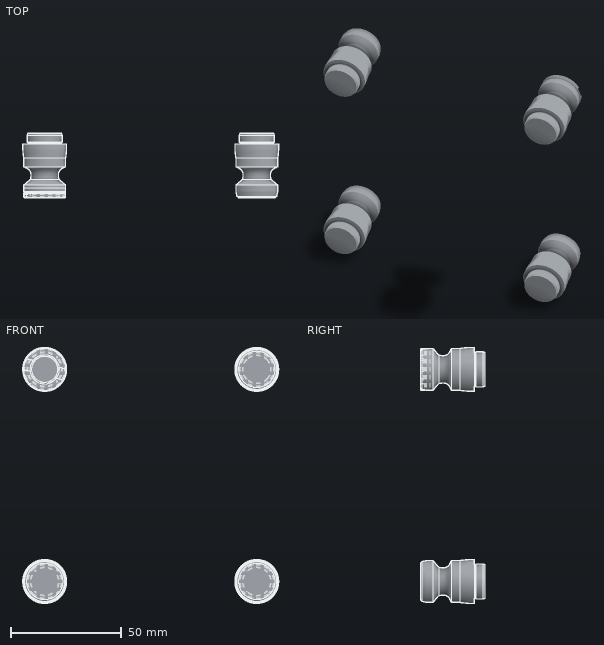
import cadquery as cq

OUTER_SIZE = 116.0
FOOT_LENGTH = 29.3
FLANGE_RADIUS = 10.0
HALF_PITCH = OUTER_SIZE / 2 - FLANGE_RADIUS
FRONT_Y = -FOOT_LENGTH / 2

TAIL_RADIUS = 8.0
TAIL_END_RADIUS = 7.7
UNDERCUT_RADIUS = 7.5
BODY_RADIUS = 9.5
FLANGE_TAPER_FRONT_RADIUS = 9.6
FLANGE_TAPER_BACK_RADIUS = 9.9
SHOULDER_RADIUS = 7.9
NECK_RADIUS = 6.3
NECK_FRONT_RADIUS = 6.5
HEAD_RADIUS = 9.5
HEAD_TAPER_RADIUS = 9.0
HEAD_FACE_RADIUS = 8.2

HEAD_CHAMFER_END = 0.7
HEAD_TAPER_END = 2.7
HEAD_BACK = 5.8
NECK_CONE_END = 8.3
NECK_FRONT = 9.7
NECK_BACK = 10.5
SHOULDER_FRONT = 13.2
BODY_FRONT = 14.0
FLANGE_STEP_FRONT = 18.0
FLANGE_STEP_BACK = 18.3
FLANGE_TAPER_BACK = 20.5
FLANGE_FRONT = 21.8
FLANGE_BACK = 24.5
UNDERCUT_BACK = 25.3
UNDERCUT_FLOOR_BACK = 24.8
TAIL_CHAMFER_START = 28.3

CAP_BACK = 4.4
CAP_GROOVE_BACK = 2.8
CAP_GROOVE_FRONT = 2.0
SLOT_DEPTH = 1.5
CAP_GROOVE_RADIUS = 9.0
CAP_GROOVE_FLOOR = (CAP_GROOVE_FRONT + CAP_GROOVE_BACK) / 2
LUG_FILLET = 0.6
HUB_BASE_RADIUS = 6.6
HUB_END_RADIUS = 5.9
SLOT_WIDTH = 5.1
SLOT_ANGLE = 15.0


def revolve_profile(profile):
    """Close an outline of (radius, distance from the front face) and turn it about the Y axis."""
    return profile.close().revolve(360, (0, 0, 0), (0, 1, 0))


def add_foot_back(profile):
    """Continue a head outline from the head's back edge, over neck, body and flange, to the tail end."""
    return (
        profile
        .lineTo(HEAD_RADIUS, HEAD_BACK)
        .lineTo(NECK_FRONT_RADIUS, NECK_CONE_END)
        .lineTo(NECK_RADIUS, NECK_FRONT)
        .lineTo(NECK_RADIUS, NECK_BACK)
        .tangentArcPoint((SHOULDER_RADIUS, SHOULDER_FRONT), relative=False)
        .lineTo(BODY_RADIUS, BODY_FRONT)
        .lineTo(BODY_RADIUS, FLANGE_STEP_FRONT)
        .lineTo(FLANGE_TAPER_FRONT_RADIUS, FLANGE_STEP_BACK)
        .lineTo(FLANGE_TAPER_BACK_RADIUS, FLANGE_TAPER_BACK)
        .lineTo(FLANGE_RADIUS, FLANGE_FRONT)
        .lineTo(FLANGE_RADIUS, FLANGE_BACK)
        .lineTo(UNDERCUT_RADIUS, FLANGE_BACK)
        .lineTo(UNDERCUT_RADIUS, UNDERCUT_FLOOR_BACK)
        .lineTo(TAIL_RADIUS, UNDERCUT_BACK)
        .lineTo(TAIL_RADIUS, TAIL_CHAMFER_START)
        .lineTo(TAIL_END_RADIUS, FOOT_LENGTH)
        .lineTo(0, FOOT_LENGTH)
    )


def make_foot():
    """Plain foot with a closed, tapered head."""
    head = (
        cq.Workplane("XY")
        .lineTo(HEAD_FACE_RADIUS, 0)
        .lineTo(HEAD_TAPER_RADIUS, HEAD_CHAMFER_END)
        .lineTo(HEAD_RADIUS, HEAD_TAPER_END)
    )
    return revolve_profile(add_foot_back(head))


def make_short_foot():
    """Foot whose head stops at a flat face, where the cap sits."""
    head = cq.Workplane("XY").moveTo(0, CAP_BACK).lineTo(HEAD_RADIUS, CAP_BACK)
    return revolve_profile(add_foot_back(head))


def make_cap_blank():
    """Cap disc with a V groove round its rim, a filleted front rim and a tapered hub inside a bore."""
    return revolve_profile(
        cq.Workplane("XY")
        .lineTo(HUB_END_RADIUS, 0)
        .lineTo(HUB_BASE_RADIUS, SLOT_DEPTH)
        .lineTo(HUB_BASE_RADIUS, 0)
        .lineTo(HEAD_RADIUS - LUG_FILLET, 0)
        .tangentArcPoint((HEAD_RADIUS, LUG_FILLET), relative=False)
        .lineTo(HEAD_RADIUS, CAP_GROOVE_FRONT)
        .lineTo(CAP_GROOVE_RADIUS, CAP_GROOVE_FLOOR)
        .lineTo(HEAD_RADIUS, CAP_GROOVE_BACK)
        .lineTo(HEAD_RADIUS, CAP_BACK)
        .lineTo(0, CAP_BACK)
    )


def make_cap_slot():
    """Tilted slot across the front of the cap, interrupted by the hub."""
    hub = revolve_profile(
        cq.Workplane("XY")
        .lineTo(HUB_END_RADIUS, 0)
        .lineTo(HUB_BASE_RADIUS, SLOT_DEPTH)
        .lineTo(0, SLOT_DEPTH)
    )
    return (
        cq.Workplane("XY")
        .box(2 * FLANGE_RADIUS, SLOT_DEPTH, SLOT_WIDTH, centered=(True, False, True))
        .rotate((0, 0, 0), (0, 1, 0), SLOT_ANGLE)
        .cut(hub)
    )


def make_cap():
    """Cap whose front rim is split by the slot into two lugs."""
    return make_cap_blank().cut(make_cap_slot())


def place(body, x_side, z_side):
    """Move a body from the origin to the corner given by the signs of X and Z."""
    return body.translate((x_side * HALF_PITCH, FRONT_Y, z_side * HALF_PITCH))


PLAIN_CORNERS = [(1, 1), (1, -1), (-1, -1)]
CAPPED_CORNER = (-1, 1)

feet = [place(make_foot(), *corner) for corner in PLAIN_CORNERS]
short_foot = place(make_short_foot(), *CAPPED_CORNER)
cap = place(make_cap(), *CAPPED_CORNER)

result = cq.Compound.makeCompound([*[foot.val() for foot in feet], short_foot.val(), cap.val()])